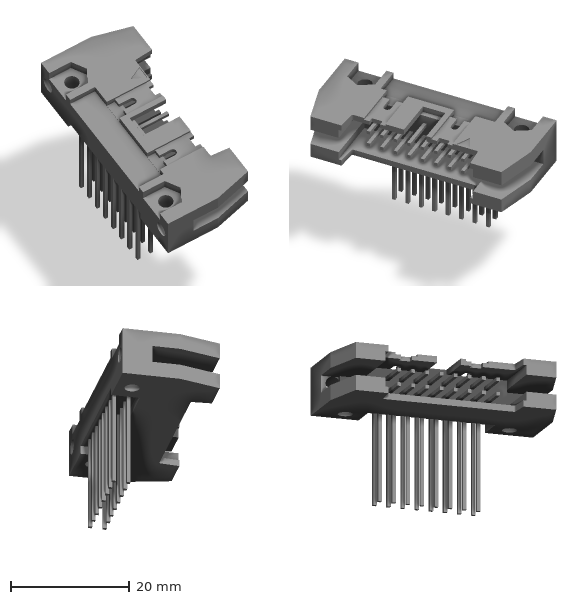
import cadquery as cq

length = 39.9
depth = 17.3
height = 8.45
total_height = 23.5
mid_z = height / 2

taper_start_y = 10.0
taper_inset = 1.95
centre_wall_y = 13.73
tower_gap_top = 24.25
tower_gap_bottom = 23.7
gap_corner_radius = 0.28

wall = 1.1
cavity_length = 25.3
cavity_floor_y = 7.35
latch_length = (length - cavity_length) / 2
latch_bottom_z = 2.67
latch_height = 3.0
latch_inner_floor_y = 5.9
latch_outer_floor_y = 5.15
latch_outer_length = 3.15
pivot_diameter = 2.6
pivot_inset = 2.15
pivot_z = 4.4

columns = 8
rows = 2
row_length = 17.75
pitch = row_length / (columns - 1)
pin_width = 0.65
contact_start_y = 5.0
pin_tip_y = 13.55
front_row_y = 1.05

mount_spacing = 29.5
mount_y = 2.87
mount_diameter = 2.6
nut_width = 5.25
nut_side_y = 4.35
nut_apex_y = 5.85
nut_depth = 1.7

recess_y = 5.0
top_recess_length = 21.55
top_recess_depth = 1.2
bottom_recess_length = 22.75
bottom_recess_depth = 1.48

band_centres = (-2 * pitch, 3 * pitch)
band_width = 4.0
band_depth = 0.35
ledge_end_y = 6.6
band_slot_width = 1.35
band_slot_end_y = 9.55
end_notch_width = 2.0
end_notch_depth = 0.95

key_width = 4.23
key_floor_y = 6.42
triangle_x = -8.95
triangle_width = 2.55
triangle_base_y = 13.53
triangle_apex_y = 10.97
triangle_depth = 0.2

cut_margin = 0.4
pick_margin = 0.05


def block(x_range, y_range, z_range):
    """Axis-aligned box between pairs of limits."""
    x0, x1 = x_range
    y0, y1 = y_range
    z0, z1 = z_range
    return cq.Workplane("XY").box(x1 - x0, y1 - y0, z1 - z0, centered=False).translate((x0, y0, z0))


def centred(middle, size):
    """Limits of a span of the given size about its middle."""
    return (middle - size / 2, middle + size / 2)


def make_body():
    """Plan outline with two towers beside a lower centre wall."""
    right_half = [
        (length / 2, 0),
        (length / 2, taper_start_y),
        (length / 2 - taper_inset, depth),
        (tower_gap_top / 2, depth),
        (tower_gap_bottom / 2, centre_wall_y),
    ]
    left_half = [(-x, y) for x, y in reversed(right_half)]
    body = cq.Workplane("XY").polyline(right_half + left_half).close().extrude(height)
    gap_corners = cq.selectors.BoxSelector(
        (-tower_gap_bottom / 2 - pick_margin, centre_wall_y - pick_margin, 0),
        (tower_gap_bottom / 2 + pick_margin, centre_wall_y + pick_margin, height),
    )
    return body.edges("|Z").edges(gap_corners).fillet(gap_corner_radius)


def make_cavity():
    """Space for the mating plug, the stepped latch slots and the latch pivot holes."""
    past_front = depth + cut_margin
    latch_z = (latch_bottom_z, latch_bottom_z + latch_height)
    cavity = block(centred(0, cavity_length), (cavity_floor_y, past_front), (wall, height - wall))
    for side in (-1, 1):
        inner_x = side * (length - latch_length) / 2
        inner_slot = block(centred(inner_x, latch_length), (latch_inner_floor_y, past_front), latch_z)
        outer_x = side * (length - latch_outer_length) / 2
        outer_slot = block(centred(outer_x, latch_outer_length), (latch_outer_floor_y, past_front), latch_z)
        pivot = (
            cq.Workplane("XZ")
            .center(side * (length / 2 - pivot_inset), pivot_z)
            .circle(pivot_diameter / 2)
            .extrude(-latch_outer_floor_y)
        )
        cavity = cavity.union(inner_slot).union(outer_slot).union(pivot)
    return cavity


def make_mount(x):
    """Through hole below a pointed nut pocket that is open at the back."""
    pocket = (
        cq.Workplane("XY", origin=(x, 0, height - nut_depth))
        .moveTo(-nut_width / 2, 0)
        .lineTo(-nut_width / 2, nut_side_y)
        .lineTo(0, nut_apex_y)
        .lineTo(nut_width / 2, nut_side_y)
        .lineTo(nut_width / 2, 0)
        .close()
        .extrude(nut_depth)
    )
    hole = cq.Workplane("XY").center(x, mount_y).circle(mount_diameter / 2).extrude(height)
    return pocket.union(hole)


def make_band(x):
    """Shallow band with a deeper ledge, a round-ended slot and a notch at its end."""
    through_wall = (height - wall, height)
    band = block(centred(x, band_width), (recess_y, centre_wall_y), (height - band_depth, height))
    ledge = block(centred(x, band_width), (recess_y, ledge_end_y), through_wall)
    notch = block(
        centred(x, end_notch_width), (centre_wall_y - end_notch_depth, centre_wall_y), through_wall)
    round_y = band_slot_end_y - band_slot_width / 2
    slot = block(centred(x, band_slot_width), (ledge_end_y, round_y), through_wall)
    slot_end = (
        cq.Workplane("XY", origin=(x, round_y, height - wall))
        .circle(band_slot_width / 2)
        .extrude(wall)
    )
    return band.union(ledge).union(notch).union(slot).union(slot_end)


def make_triangle():
    """Shallow mark beside the first contact, pointing to the back edge."""
    half = triangle_width / 2
    return (
        cq.Workplane("XY", origin=(triangle_x, 0, height - triangle_depth))
        .polyline([(-half, triangle_base_y), (half, triangle_base_y), (0, triangle_apex_y)])
        .close()
        .extrude(triangle_depth)
    )


def make_pins():
    """Tails below the housing and the contacts in the cavity, in two rows."""
    pins = []
    for column in range(columns):
        x_range = centred(column * pitch - row_length / 2, pin_width)
        for row in range(rows):
            tail_y = front_row_y + row * pitch
            contact_z = mid_z + ((rows - 1) / 2 - row) * pitch
            pins.append(block(x_range, centred(tail_y, pin_width), (height - total_height, mid_z)))
            pins.append(block(x_range, (contact_start_y, pin_tip_y), centred(contact_z, pin_width)))
    return pins


body = make_body().cut(make_cavity())

top_recess = block(
    centred(0, top_recess_length), (0, recess_y), (height - top_recess_depth, height))
bottom_recess = block(centred(0, bottom_recess_length), (0, recess_y), (0, bottom_recess_depth))
key_notch = block(centred(0, key_width), (key_floor_y, centre_wall_y), (height - wall, height))
body = body.cut(top_recess).cut(bottom_recess).cut(key_notch).cut(make_triangle())

for side in (-1, 1):
    body = body.cut(make_mount(side * mount_spacing / 2))
for band_x in band_centres:
    body = body.cut(make_band(band_x))
for pin in make_pins():
    body = body.union(pin)

result = body